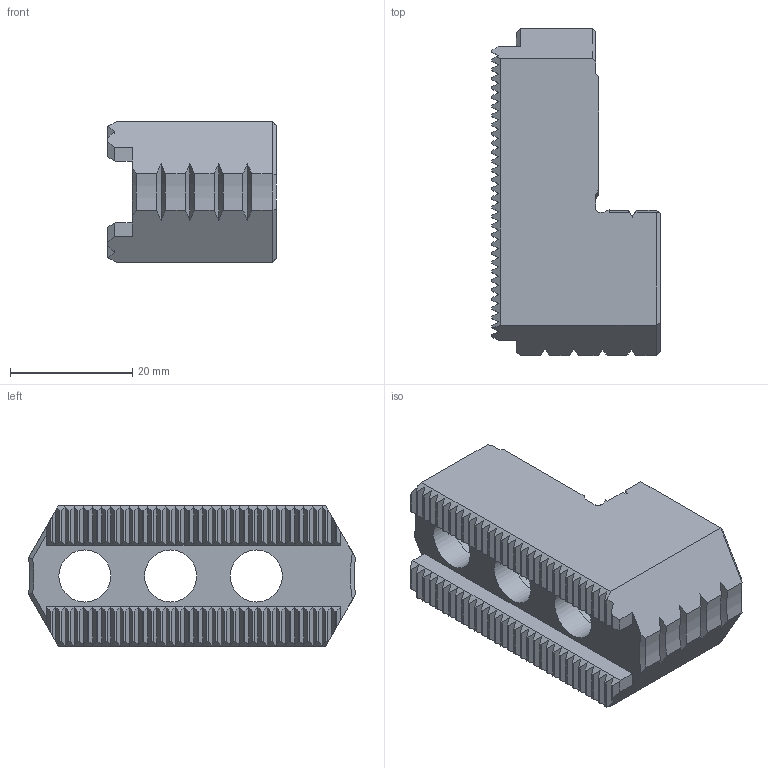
import math

import cadquery as cq

LENGTH_X = 27.5
HEIGHT_Z = 23.0
TIP_TO_TIP_Y = 53.41
SLOPE_ANGLE = 60.0
TIP_HALF_HEIGHT = 3.0
END_RADIUS = 20.0

X_MIN = -LENGTH_X / 2
X_MAX = LENGTH_X / 2
Z_TOP = HEIGHT_Z / 2
Y_TIP = TIP_TO_TIP_Y / 2
Y_SHOULDER = Y_TIP - (Z_TOP - TIP_HALF_HEIGHT) / math.tan(math.radians(SLOPE_ANGLE))
END_SAG = END_RADIUS - math.sqrt(END_RADIUS**2 - TIP_HALF_HEIGHT**2)

RAIL_HEIGHT = 4.0
CHANNEL_WIDTH = 10.0
RAIL_CENTER_Y = -0.25
RAIL_OVERLAP = 1.0
OUTER_BEVEL = 1.4
INNER_BEVEL = 1.25
TOOTH_PITCH = 1.5
TOOTH_COUNT = 32
TOOTH_FLAT = 0.28
FLANK_SLOPE = math.tan(math.radians(30))
TOOTH_DEPTH = (TOOTH_PITCH - TOOTH_FLAT) / 2 / FLANK_SLOPE
RAIL_Y_MIN = RAIL_CENTER_Y - TOOTH_PITCH * TOOTH_COUNT / 2
RAIL_Y_MAX = RAIL_CENTER_Y + TOOTH_PITCH * TOOTH_COUNT / 2
X_BASE = X_MIN + RAIL_HEIGHT

X_STEP = 3.7
LEDGE_EDGE_Y = -2.85
LEDGE_RADIUS = 75.0
LEDGE_BEVEL_Y = 0.5
LEDGE_BEVEL_Z = 1.9
LEDGE_AXIS_Y = LEDGE_EDGE_Y + math.sqrt(LEDGE_RADIUS**2 - Z_TOP**2)
RELIEF_DEPTH = 0.5
RELIEF_FILLET = 0.7
RELIEF_LENGTH = 3.2
RELIEF_WIDTH = 1.7
RELIEF_RUNOUT = RELIEF_DEPTH / FLANK_SLOPE

TAIL_DEPTH = 0.5
TAIL_START_Y = 18.8
X_TAIL = X_STEP - TAIL_DEPTH

EDGE_CHAMFER = 0.65
TAIL_CHAMFER = 0.5

GROOVE_HALF_WIDTH = 0.72
GROOVE_DEPTH = GROOVE_HALF_WIDTH / FLANK_SLOPE
END_GROOVE_FIRST_X = -5.05
GROOVE_PITCH = 4.7
END_GROOVE_COUNT = 4
LEDGE_GROOVE_X = 9.2

HOLE_DIAMETER = 8.5
COUNTERBORE_DIAMETER = 13.5
COUNTERBORE_FLOOR_X = -5.25
HOLE_PITCH = 14.0
MIDDLE_HOLE_Y = 3.5
HOLE_YS = [MIDDLE_HOLE_Y + i * HOLE_PITCH for i in (-1, 0, 1)]

CLEARANCE = 2.0


def end_prism(x_start, x_end):
    """Hexagonal prism along X with concave ends."""
    y_mid = Y_TIP - END_SAG
    return (
        cq.Workplane("YZ", origin=(x_start, 0, 0))
        .moveTo(-Y_SHOULDER, Z_TOP)
        .lineTo(Y_SHOULDER, Z_TOP)
        .lineTo(Y_TIP, TIP_HALF_HEIGHT)
        .threePointArc((y_mid, 0), (Y_TIP, -TIP_HALF_HEIGHT))
        .lineTo(Y_SHOULDER, -Z_TOP)
        .lineTo(-Y_SHOULDER, -Z_TOP)
        .lineTo(-Y_TIP, -TIP_HALF_HEIGHT)
        .threePointArc((-y_mid, 0), (-Y_TIP, TIP_HALF_HEIGHT))
        .close()
        .extrude(x_end - x_start)
    )


def turn_about_x(outline, axis_y):
    """Revolve a closed outline in the XY plane about the line y = axis_y."""
    return outline.revolve(360, (0, axis_y, 0), (1, axis_y, 0))


def ledge_cutter():
    """Disc that clears the stepped side down to the concave ledge and its corner relief."""
    y_ledge = LEDGE_AXIS_Y - LEDGE_RADIUS
    y_bottom = y_ledge - RELIEF_DEPTH
    x_wall = X_STEP - RELIEF_DEPTH
    corner = RELIEF_FILLET * (1 - math.sqrt(0.5))
    outline = (
        cq.Workplane("XY")
        .moveTo(X_STEP, LEDGE_AXIS_Y)
        .lineTo(X_STEP, y_ledge + RELIEF_LENGTH)
        .lineTo(x_wall, y_ledge + RELIEF_LENGTH - RELIEF_RUNOUT)
        .lineTo(x_wall, y_bottom + RELIEF_FILLET)
        .threePointArc((x_wall + corner, y_bottom + corner), (x_wall + RELIEF_FILLET, y_bottom))
        .lineTo(X_STEP + RELIEF_WIDTH - RELIEF_RUNOUT, y_bottom)
        .lineTo(X_STEP + RELIEF_WIDTH, y_ledge)
        .lineTo(X_MAX + CLEARANCE, y_ledge)
        .lineTo(X_MAX + CLEARANCE, LEDGE_AXIS_Y)
        .close()
    )
    return turn_about_x(outline, LEDGE_AXIS_Y)


def groove_cutter(x, y_face, axis_y):
    """Ring that cuts a V groove into the concave face lying at y_face where z = 0."""
    outward = math.copysign(1, y_face - axis_y)
    outline = cq.Workplane("XY").polyline([
        (x - 2 * GROOVE_HALF_WIDTH, y_face - outward * GROOVE_DEPTH),
        (x + 2 * GROOVE_HALF_WIDTH, y_face - outward * GROOVE_DEPTH),
        (x, y_face + outward * GROOVE_DEPTH),
    ]).close()
    return turn_about_x(outline, axis_y)


def edges_at_x(body, x, y_min, y_max):
    """Edges in the plane at x whose centres lie between y_min and y_max."""
    tolerance = 1e-4

    def wanted(edge):
        box = edge.BoundingBox()
        flat = abs(box.xmin - x) < tolerance and abs(box.xmax - x) < tolerance
        return flat and y_min < edge.Center().y < y_max

    return body.newObject([edge for edge in body.edges().vals() if wanted(edge)])


def make_body():
    """Stepped body without rails, with its edges chamfered."""
    body = end_prism(X_BASE, X_MAX).cut(ledge_cutter())
    tail = (
        cq.Workplane("XY", origin=(0, 0, -Z_TOP))
        .polyline([
            (X_STEP, TAIL_START_Y),
            (X_TAIL, TAIL_START_Y + TAIL_DEPTH),
            (X_TAIL, Y_TIP),
            (X_STEP, Y_TIP),
        ])
        .close()
        .extrude(HEIGHT_Z)
    )
    body = body.cut(tail)
    body = body.faces(">X").edges().chamfer(EDGE_CHAMFER)
    body = edges_at_x(body, X_TAIL, Y_SHOULDER, Y_TIP).chamfer(TAIL_CHAMFER)
    return edges_at_x(body, X_BASE, Y_SHOULDER, Y_TIP).chamfer(EDGE_CHAMFER)


def cut_end_face(body):
    """Bevel the -X edge of the -Y end face and cut the V grooves along that face."""
    y_face = END_SAG - Y_TIP
    axis_y = y_face - END_RADIUS
    bevel = cq.Workplane("XY").polyline([
        (X_BASE - CLEARANCE, y_face - CLEARANCE),
        (X_BASE + EDGE_CHAMFER + CLEARANCE, y_face - CLEARANCE),
        (X_BASE - CLEARANCE, y_face + EDGE_CHAMFER + CLEARANCE),
    ]).close()
    body = body.cut(turn_about_x(bevel, axis_y))
    for i in range(END_GROOVE_COUNT):
        body = body.cut(groove_cutter(END_GROOVE_FIRST_X + i * GROOVE_PITCH, y_face, axis_y))
    return body


def cut_ledge_details(body):
    """Bevel the ledge's top and bottom edges and cut its V groove."""
    for side in (-1, 1):
        bevel = (
            cq.Workplane("YZ", origin=(X_STEP + RELIEF_WIDTH, 0, 0))
            .polyline([
                (LEDGE_EDGE_Y - LEDGE_BEVEL_Y, side * Z_TOP),
                (LEDGE_EDGE_Y + LEDGE_BEVEL_Y, side * Z_TOP),
                (LEDGE_EDGE_Y + LEDGE_BEVEL_Y, side * (Z_TOP - 2 * LEDGE_BEVEL_Z)),
            ])
            .close()
            .extrude(LENGTH_X)
        )
        body = body.cut(bevel)
    return body.cut(groove_cutter(LEDGE_GROOVE_X, LEDGE_AXIS_Y - LEDGE_RADIUS, LEDGE_AXIS_Y))


def make_rails():
    """Both rails: bevelled bars with V teeth, trimmed to the body's end flanks."""
    z_inner = CHANNEL_WIDTH / 2
    teeth = cq.Workplane("XY", origin=(0, 0, -Z_TOP)).moveTo(X_BASE + RAIL_OVERLAP, RAIL_Y_MIN)
    x_root = X_MIN + TOOTH_DEPTH
    for i in range(TOOTH_COUNT):
        y_root = RAIL_Y_MIN + i * TOOTH_PITCH
        y_crest = y_root + TOOTH_PITCH / 2
        teeth = (
            teeth.lineTo(x_root, y_root)
            .lineTo(X_MIN, y_crest - TOOTH_FLAT / 2)
            .lineTo(X_MIN, y_crest + TOOTH_FLAT / 2)
        )
    teeth = (
        teeth.lineTo(x_root, RAIL_Y_MAX)
        .lineTo(X_BASE + RAIL_OVERLAP, RAIL_Y_MAX)
        .close()
        .extrude(HEIGHT_Z)
    )
    sections = cq.Workplane("XZ", origin=(0, RAIL_Y_MAX, 0))
    for side in (-1, 1):
        sections = sections.polyline([
            (X_BASE + RAIL_OVERLAP, side * z_inner),
            (X_MIN + INNER_BEVEL, side * z_inner),
            (X_MIN, side * (z_inner + INNER_BEVEL * FLANK_SLOPE)),
            (X_MIN, side * (Z_TOP - OUTER_BEVEL * FLANK_SLOPE)),
            (X_MIN + OUTER_BEVEL, side * Z_TOP),
            (X_BASE + RAIL_OVERLAP, side * Z_TOP),
        ]).close()
    bars = sections.extrude(RAIL_Y_MAX - RAIL_Y_MIN)
    return bars.intersect(teeth).intersect(end_prism(X_MIN, X_BASE + RAIL_OVERLAP))


def drill_holes(body):
    """Screw holes from the channel floor, counterbored from the +X side."""
    centers = [(y, 0) for y in HOLE_YS]
    holes = (
        cq.Workplane("YZ", origin=(X_MIN, 0, 0))
        .pushPoints(centers)
        .circle(HOLE_DIAMETER / 2)
        .extrude(LENGTH_X)
    )
    counterbores = (
        cq.Workplane("YZ", origin=(COUNTERBORE_FLOOR_X, 0, 0))
        .pushPoints(centers)
        .circle(COUNTERBORE_DIAMETER / 2)
        .extrude(X_MAX - COUNTERBORE_FLOOR_X)
    )
    return body.cut(holes).cut(counterbores)


body = cut_ledge_details(cut_end_face(make_body()))
result = drill_holes(body.union(make_rails()))